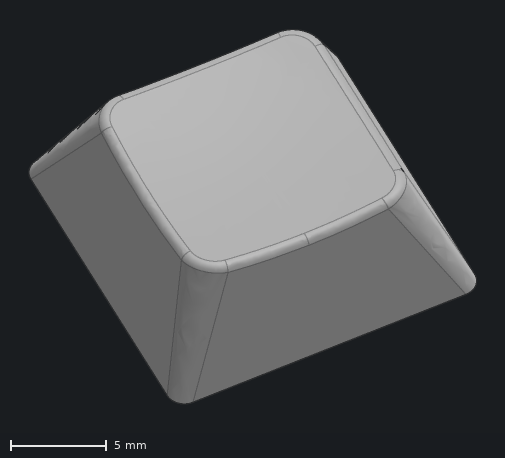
import cadquery as cq

base_width = 18.0
base_corner_radius = 1.0

loft_height = 7.02
top_width = 12.51
top_corner_radius = 1.9

dish_center_height = 5.98
dish_radius = 39.96
rim_fillet_radius = 0.54


def rounded_square(width, corner_radius, height):
    """Square with rounded corners, centred on the Z axis at the given height."""
    sketch = cq.Sketch().rect(width, width).vertices().fillet(corner_radius)
    return sketch.moved(cq.Location(cq.Vector(0, 0, height)))


def tapered_body():
    """Solid that narrows evenly from the base to the upper section."""
    base = rounded_square(base_width, base_corner_radius, 0)
    top = rounded_square(top_width, top_corner_radius, loft_height)
    return cq.Workplane("XY").placeSketch(base, top).loft(ruled=True)


def dish():
    """Sphere whose lowest point is the centre of the dished top face."""
    sphere_height = dish_center_height + dish_radius
    return cq.Workplane("XY").sphere(dish_radius).translate((0, 0, sphere_height))


dished_body = tapered_body().cut(dish())
result = dished_body.faces(">Z").edges().fillet(rim_fillet_radius)